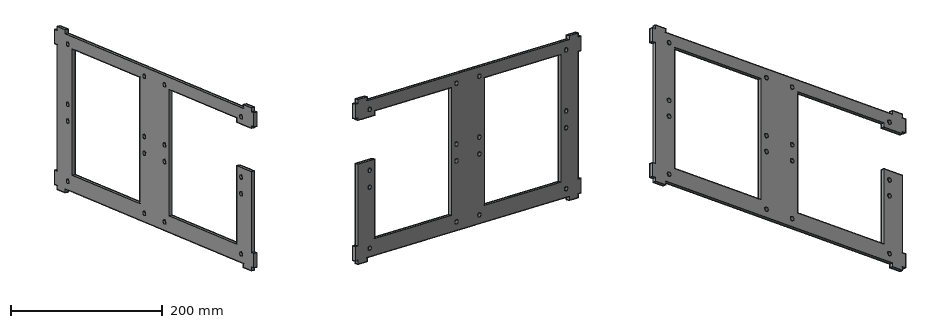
import cadquery as cq

thickness = 5.4
overall_length = 444.6
overall_height = 225.53

tab_reach = thickness
body_length = overall_length - 2 * tab_reach
body_height = overall_height - 2 * tab_reach
edge_tab_length = 18.1
end_tab_height = 20.0

pattern_x = 0.5
pattern_z = -0.5

web_width = 65.0
window_length = 150.9
window_inner_offset = web_width / 2
window_outer_offset = window_inner_offset + window_length
window_top_z = 90.4
window_bottom_z = -84.3

gap_top_z = -window_bottom_z
gap_height = 59.9
gap_bottom_z = gap_top_z - gap_height

hole_diameter = 6.0
hole_x_offsets = (22.5, 193.4)
hole_z_offsets = (11.5, 94.9)


def block(x_min, x_max, z_min, z_max):
    """Rectangular block through the full sheet thickness."""
    return (
        cq.Workplane("XY")
        .box(x_max - x_min, thickness, z_max - z_min)
        .translate(((x_min + x_max) / 2, 0, (z_min + z_max) / 2))
    )


def plate_with_tabs():
    """Rectangular sheet with a pair of tabs meeting at each corner."""
    half_length = body_length / 2
    half_height = body_height / 2
    plate = block(-half_length, half_length, -half_height, half_height)
    tab_x = half_length - edge_tab_length / 2
    tab_z = half_height - end_tab_height / 2
    for side_x in (-1, 1):
        for side_z in (-1, 1):
            edge_tab = cq.Workplane("XY").box(edge_tab_length, thickness, 2 * tab_reach)
            plate = plate.union(edge_tab.translate((side_x * tab_x, 0, side_z * half_height)))
            end_tab = cq.Workplane("XY").box(2 * tab_reach, thickness, end_tab_height)
            plate = plate.union(end_tab.translate((side_x * half_length, 0, side_z * tab_z)))
    return plate


def cut_windows(plate):
    """Open the left and right windows."""
    window_height = window_top_z - window_bottom_z
    centre_z = (window_top_z + window_bottom_z) / 2
    centre_offset = window_inner_offset + window_length / 2
    for side in (-1, 1):
        window = cq.Workplane("XY").box(window_length, thickness, window_height)
        plate = plate.cut(window.translate((pattern_x + side * centre_offset, 0, centre_z)))
    return plate


def cut_post_gap(plate):
    """Interrupt the right-hand post so the right window opens outward."""
    window_outer_x = pattern_x + window_outer_offset
    return plate.cut(block(window_outer_x, overall_length / 2, gap_bottom_z, gap_top_z))


def drill_holes(plate):
    """Drill the mirrored grid of screw holes through the sheet."""
    centres = []
    for side_x in (-1, 1):
        for side_z in (-1, 1):
            for x in hole_x_offsets:
                for z in hole_z_offsets:
                    centres.append((pattern_x + side_x * x, pattern_z + side_z * z))
    drills = (
        cq.Workplane("XZ")
        .pushPoints(centres)
        .circle(hole_diameter / 2)
        .extrude(thickness, both=True)
    )
    return plate.cut(drills)


result = plate_with_tabs()
result = cut_windows(result)
result = cut_post_gap(result)
result = drill_holes(result)